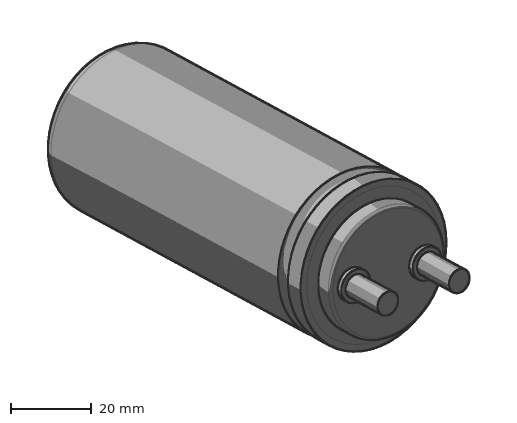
import cadquery as cq

overall_length = 136.5
stud_length = 10.0
can_length = 96.8
groove_width = 4.1
rim_width = 5.2
cover_height = 5.9
collar_height = 1.5

stud_start = -overall_length / 2
can_start = stud_start + stud_length
groove_start = can_start + can_length
rim_start = groove_start + groove_width
rim_end = rim_start + rim_width
cover_end = rim_end + cover_height
collar_end = cover_end + collar_height
pin_end = overall_length / 2

can_diameter = 45.5
stud_diameter = 8.2
cover_diameter = 35.8
collar_diameter = 9.0
pin_diameter = 6.4

can_end_fillet = 3.8
groove_depth = 1.6
cone_height = 0.8
cone_base_diameter = 41.6
cover_edge_fillet = 0.8
pin_spacing = 22.2


def rod(start, end, diameter, y=0):
    """Round bar along X between two stations."""
    plane = cq.Workplane("YZ", origin=(start, y, 0))
    return plane.circle(diameter / 2).extrude(end - start)


def make_can():
    """Turned can: rounded closed end, rolled groove, rim, shallow cone and raised cover."""
    can_radius = can_diameter / 2
    cover_radius = cover_diameter / 2
    groove_middle = (groove_start + groove_width / 2, can_radius - groove_depth)
    profile = (
        cq.Workplane("XY")
        .moveTo(can_start, 0)
        .lineTo(can_start, can_radius - can_end_fillet)
        .tangentArcPoint((can_end_fillet, can_end_fillet), relative=True)
        .lineTo(groove_start, can_radius)
        .threePointArc(groove_middle, (rim_start, can_radius))
        .lineTo(rim_end, can_radius)
        .lineTo(rim_end, cone_base_diameter / 2)
        .lineTo(rim_end + cone_height, cover_radius)
        .lineTo(cover_end - cover_edge_fillet, cover_radius)
        .tangentArcPoint((cover_edge_fillet, -cover_edge_fillet), relative=True)
        .lineTo(cover_end, 0)
        .close()
    )
    return profile.revolve(360, (0, 0, 0), (1, 0, 0))


def make_terminal(y):
    """Contact pin standing on a wider collar, both rooted on the cover face."""
    collar = rod(cover_end, collar_end, collar_diameter, y)
    pin = rod(cover_end, pin_end, pin_diameter, y)
    return collar.union(pin)


result = make_can().union(rod(stud_start, can_start, stud_diameter))
for side in (-1, 1):
    result = result.union(make_terminal(side * pin_spacing / 2))